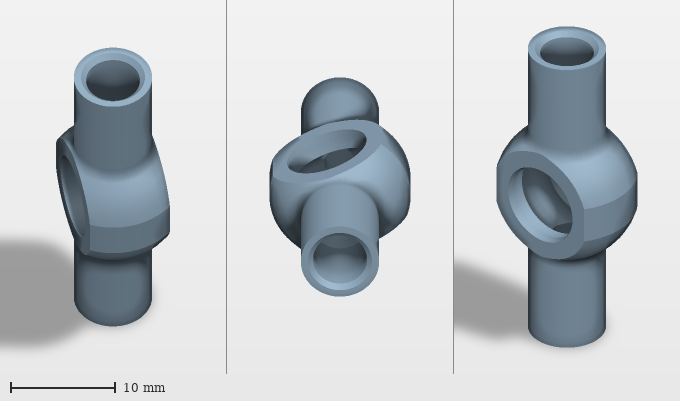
import cadquery as cq
import math

length = 32.0
thickness = 8.0
band_radius = 6.75
band_half_height = 1.85
tube_radius = 7.5 / 2
neck_fillet = 1.6

bore_radius = 8.0 / 2
groove_half_width = 1.92
groove_corner_radius = 1.45

passage_radius = 3.0 / 2
socket_radius = 5.15 / 2
socket_depth = 8.0
drill_point_angle = 118.0
mouth_chamfer = 0.48

half_length = length / 2
half_thickness = thickness / 2
groove_radius = bore_radius + groove_corner_radius
groove_floor_half_width = groove_half_width - groove_corner_radius
sphere_radius = math.hypot(band_radius, band_half_height)


def outer_body():
    """Two tubes blended into a ball with a cylindrical waist, flattened on both Y sides."""
    fillet_x = tube_radius + neck_fillet
    fillet_z = math.sqrt((sphere_radius + neck_fillet) ** 2 - fillet_x**2)
    touch_ratio = sphere_radius / (sphere_radius + neck_fillet)
    touch_x = fillet_x * touch_ratio
    touch_z = fillet_z * touch_ratio

    ball_angle = (math.atan2(band_half_height, band_radius) + math.atan2(touch_z, touch_x)) / 2
    ball_mid = (sphere_radius * math.cos(ball_angle), sphere_radius * math.sin(ball_angle))
    fillet_angle = (math.pi + math.atan2(fillet_z, fillet_x) + math.pi) / 2
    fillet_mid = (
        fillet_x + neck_fillet * math.cos(fillet_angle),
        fillet_z + neck_fillet * math.sin(fillet_angle),
    )
    upper_half = (
        cq.Workplane("XZ")
        .lineTo(band_radius, 0)
        .lineTo(band_radius, band_half_height)
        .threePointArc(ball_mid, (touch_x, touch_z))
        .threePointArc(fillet_mid, (tube_radius, fillet_z))
        .lineTo(tube_radius, half_length)
        .lineTo(0, half_length)
        .close()
        .revolve(360, (0, 0, 0), (0, 1, 0))
    )
    flats = cq.Workplane("XY").box(2 * band_radius, thickness, length)
    return upper_half.union(upper_half.mirror("XY")).intersect(flats)


def cross_bore():
    """Through bore along Y whose middle widens into a groove with fully rounded sides."""
    arc_offset = groove_corner_radius * math.sqrt(0.5)
    arc_mid_radius = bore_radius + arc_offset
    arc_mid_y = groove_floor_half_width + arc_offset
    return (
        cq.Workplane("XY")
        .moveTo(0, -half_thickness)
        .lineTo(bore_radius, -half_thickness)
        .lineTo(bore_radius, -groove_half_width)
        .threePointArc((arc_mid_radius, -arc_mid_y), (groove_radius, -groove_floor_half_width))
        .lineTo(groove_radius, groove_floor_half_width)
        .threePointArc((arc_mid_radius, arc_mid_y), (bore_radius, groove_half_width))
        .lineTo(bore_radius, half_thickness)
        .lineTo(0, half_thickness)
        .close()
        .revolve(360, (0, 0, 0), (0, 1, 0))
    )


def upper_passage():
    """Chamfered socket in the tube, narrowing over a drill-point cone to the small hole."""
    socket_floor = half_length - socket_depth
    cone_height = (socket_radius - passage_radius) / math.tan(math.radians(drill_point_angle / 2))
    return (
        cq.Workplane("XZ")
        .lineTo(passage_radius, 0)
        .lineTo(passage_radius, socket_floor - cone_height)
        .lineTo(socket_radius, socket_floor)
        .lineTo(socket_radius, half_length - mouth_chamfer)
        .lineTo(socket_radius + mouth_chamfer, half_length)
        .lineTo(0, half_length)
        .close()
        .revolve(360, (0, 0, 0), (0, 1, 0))
    )


passage = upper_passage()
result = outer_body().cut(cross_bore()).cut(passage).cut(passage.mirror("XY"))